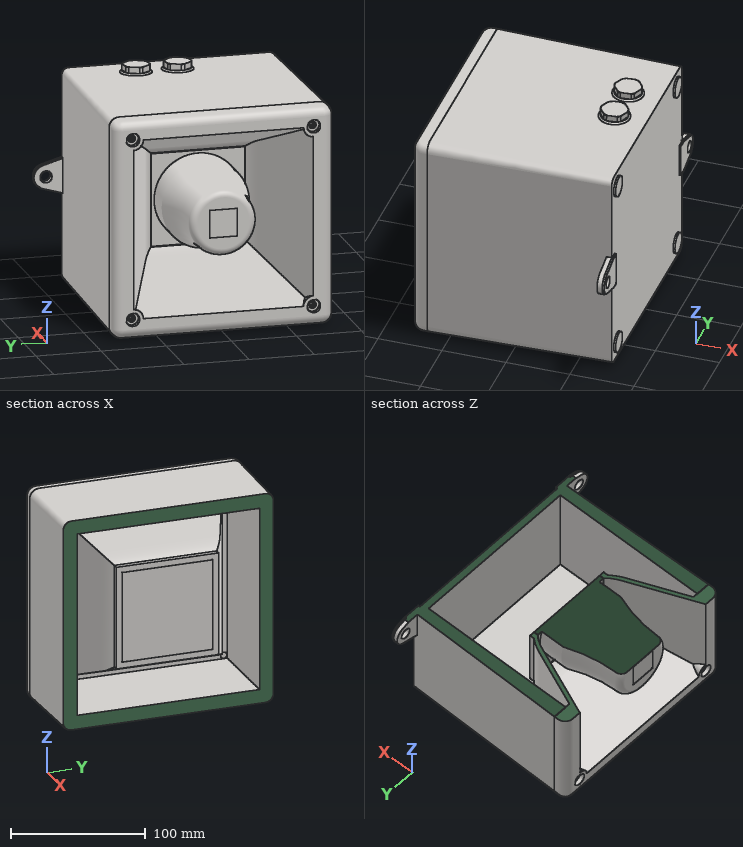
import cadquery as cq
import math


front_size = 169.2
total_depth = 156.5
foot_thickness = 1.5
back_x = total_depth - foot_thickness

cover_thickness = 11.7
edge_radius = 7.7

draft_angle = 1
housing_depth = back_x - cover_thickness
housing_wall = 6.3
cavity_size = front_size - 4 * housing_wall
back_half = front_size / 2 - housing_depth * math.tan(math.radians(draft_angle))

mouth_half = 69
flare_depth = 61.6
flare_end_half = 43.0
throat_depth = 72.3
throat_half = 36.4
horn_wall = 4.2

corner_offset = 69.4
boss_front_diameter = 16.0
boss_back_diameter = 11.0
counterbore_diameter = 10.0
counterbore_depth = 4.0
shank_diameter = 5.0
screw_head_diameter = 5.5
screw_tip_diameter = 2.5
screw_head_height = 1.5
cross_slot_width = 0.8
cross_slot_depth = 0.6

base_size = 71.5
pillar_radius = 33.6
bell_end_x = 51.0
nose_radius = 25.5
nose_fillet = 5.5

badge_size = 21.3
badge_thickness = 1.0

plug_x = 129.7
plug_y_positions = (0, 32.0)
plug_flange_diameter = 24.0
plug_flange_top_diameter = 21.0
plug_flange_height = 1.3
plug_height = 6.0
plug_corner_diameter = 21.0
plug_top_diameter = 20.5
plug_across_flats = 19.5
plug_turn = 7

ear_thickness = 4.0
ear_tip_radius = 9.5
ear_hole_y = 104.5 - ear_tip_radius
ear_hole_diameter = 9.0
ear_root_half = 13.5
ear_pad_inset = 0.6
foot_diameter = 16.0

corner_points = [(y * corner_offset, z * corner_offset) for y in (-1, 1) for z in (-1, 1)]


def cross_section(x):
    """Work plane at the given X, with its own axes along Y and Z."""
    return cq.Workplane("YZ", origin=(x, 0, 0))


def frustum(x, front_diameter, back_diameter, length):
    """Round body along the X axis that starts at x and changes evenly in diameter."""
    return (
        cross_section(x).circle(front_diameter / 2)
        .workplane(offset=length).circle(back_diameter / 2)
        .loft(ruled=True)
    )


def at_corners(shape):
    """Copies of a shape from the X axis at the four screw positions, as one Workplane."""
    copies = cq.Workplane()
    for y, z in corner_points:
        copies = copies.add(shape.translate((0, y, z)))
    return copies


def horn_form(wall):
    """Four-sided horn with mitred corners, widened on each side by wall."""
    def extruded_profile(plane):
        half = (
            cq.Workplane(plane)
            .moveTo(0, 0)
            .lineTo(0, mouth_half + wall)
            .lineTo(flare_depth, flare_end_half + wall)
            .tangentArcPoint((throat_depth, throat_half + wall), relative=False)
            .lineTo(throat_depth, 0)
            .close()
            .extrude(front_size / 2, both=True)
        )
        return half.union(half.rotate((0, 0, 0), (1, 0, 0), 180))

    side_profile = extruded_profile("XZ")
    plan_profile = extruded_profile("XY")
    return side_profile.intersect(plan_profile)


def make_cover():
    slab = (
        cross_section(0).rect(front_size, front_size).extrude(cover_thickness)
        .edges("|X or <X").fillet(edge_radius)
    )
    boss = frustum(0, boss_front_diameter, boss_back_diameter, cover_thickness)
    cavity = horn_form(0)
    for solid in at_corners(boss).vals():
        cavity = cavity.cut(cq.Workplane(solid))
    collar_size = 2 * (throat_half + horn_wall)
    collar = cross_section(throat_depth).rect(collar_size, collar_size).extrude(horn_wall)
    throat_opening = cross_section(throat_depth).rect(base_size, base_size).extrude(horn_wall)
    return (
        slab.union(horn_form(horn_wall))
        .union(collar)
        .cut(cavity)
        .cut(throat_opening)
        .cut(cross_section(0).pushPoints(corner_points).circle(counterbore_diameter / 2)
             .extrude(counterbore_depth))
        .cut(cross_section(0).pushPoints(corner_points).circle(shank_diameter / 2)
             .extrude(cover_thickness))
    )


def make_ear():
    """Ear on the +Y side, with a tapered outline and an inset pad behind it."""
    root_y = back_half - ear_root_half / 2
    run = ear_hole_y - back_half
    corner_angle = math.atan2(ear_root_half, -run)
    tangent_angle = corner_angle - math.acos(ear_tip_radius / math.hypot(run, ear_root_half))

    def outline(x, inset, length):
        radius = ear_tip_radius - inset
        root_half = ear_root_half - inset
        tangent_y = ear_hole_y + radius * math.cos(tangent_angle)
        tangent_z = radius * math.sin(tangent_angle)
        return (
            cross_section(x)
            .moveTo(root_y, -root_half)
            .lineTo(back_half, -root_half)
            .lineTo(tangent_y, -tangent_z)
            .threePointArc((ear_hole_y + radius, 0), (tangent_y, tangent_z))
            .lineTo(back_half, root_half)
            .lineTo(root_y, root_half)
            .close()
            .extrude(length)
        )

    ear = outline(back_x - ear_thickness, 0, ear_thickness)
    pad = outline(back_x, ear_pad_inset, foot_thickness)
    hole = (
        cross_section(back_x - ear_thickness).center(ear_hole_y, 0)
        .circle(ear_hole_diameter / 2).extrude(ear_thickness + foot_thickness)
    )
    return ear.union(pad).cut(hole)


def make_housing():
    shell = (
        cross_section(cover_thickness)
        .placeSketch(cq.Sketch().rect(front_size, front_size).vertices().fillet(edge_radius))
        .extrude(housing_depth, taper=draft_angle)
    )
    cavity = (
        cross_section(cover_thickness).rect(cavity_size, cavity_size)
        .extrude(housing_depth - housing_wall)
    )
    feet = (
        cross_section(back_x).pushPoints(corner_points).circle(foot_diameter / 2)
        .extrude(foot_thickness)
    )
    ear = make_ear()
    return shell.union(ear).union(ear.mirror("XZ")).cut(cavity).union(feet)


def make_driver():
    bell_start = nose_fillet
    bell_length = bell_end_x - bell_start
    bell_rise = pillar_radius - nose_radius
    bell_radius = (bell_length**2 + bell_rise**2) / (2 * bell_rise)
    half_angle = math.asin(bell_length / bell_radius) / 2
    bell_middle = (
        bell_start + bell_radius * math.sin(half_angle),
        nose_radius + bell_radius * (1 - math.cos(half_angle)),
    )
    nose_middle = (
        nose_fillet * (1 - math.sqrt(0.5)),
        nose_radius - nose_fillet * (1 - math.sqrt(0.5)),
    )
    turned = (
        cq.Workplane("XY")
        .moveTo(0, 0)
        .lineTo(0, nose_radius - nose_fillet)
        .threePointArc(nose_middle, (nose_fillet, nose_radius))
        .threePointArc(bell_middle, (bell_end_x, pillar_radius))
        .lineTo(throat_depth, pillar_radius)
        .lineTo(throat_depth, 0)
        .close()
        .revolve(360, (0, 0, 0), (1, 0, 0))
    )
    base = cross_section(throat_depth).rect(base_size, base_size).extrude(horn_wall)
    return turned.union(base).cut(make_badge())


def make_badge():
    return cross_section(0).rect(badge_size, badge_size).extrude(badge_thickness)


def make_screw():
    """Screw on the X axis: conical head with a cross slot, on a plain shank."""
    head_x = counterbore_depth - screw_head_height
    head = frustum(head_x, screw_tip_diameter, screw_head_diameter, screw_head_height)
    shank = (
        cross_section(counterbore_depth).circle(shank_diameter / 2)
        .extrude(cover_thickness - counterbore_depth)
    )
    cross = (
        cross_section(head_x)
        .rect(screw_head_diameter, cross_slot_width)
        .extrude(cross_slot_depth)
        .union(
            cross_section(head_x)
            .rect(cross_slot_width, screw_head_diameter)
            .extrude(cross_slot_depth)
        )
    )
    return head.union(shank).cut(cross)


def make_plug(y):
    """Hexagonal plug on a tapered flange, square to the drafted top face."""
    flange = (
        cq.Workplane("XY").circle(plug_flange_diameter / 2)
        .workplane(offset=plug_flange_height).circle(plug_flange_top_diameter / 2)
        .loft(ruled=True)
    )
    corner_chamfer = (plug_corner_diameter - plug_top_diameter) / 2
    turned_head = (
        cq.Workplane("XY").circle(plug_corner_diameter / 2).extrude(plug_height)
        .faces(">Z").chamfer(corner_chamfer)
    )
    hexagon = (
        cq.Workplane("XY").polygon(6, plug_across_flats, circumscribed=True).extrude(plug_height)
        .rotate((0, 0, 0), (0, 0, 1), 30 + plug_turn)
    )
    top_z = front_size / 2 - (plug_x - cover_thickness) * math.tan(math.radians(draft_angle))
    return (
        flange.union(hexagon.intersect(turned_head))
        .rotate((0, 0, 0), (0, 1, 0), draft_angle)
        .translate((plug_x, y, top_z))
    )


cover = make_cover()
housing = make_housing()
driver = make_driver()
badge = make_badge()
screws = at_corners(make_screw())
plugs = [make_plug(y).val() for y in plug_y_positions]

result = cq.Compound.makeCompound(
    [cover.val(), housing.val(), driver.val(), badge.val(), *screws.vals(), *plugs]
)